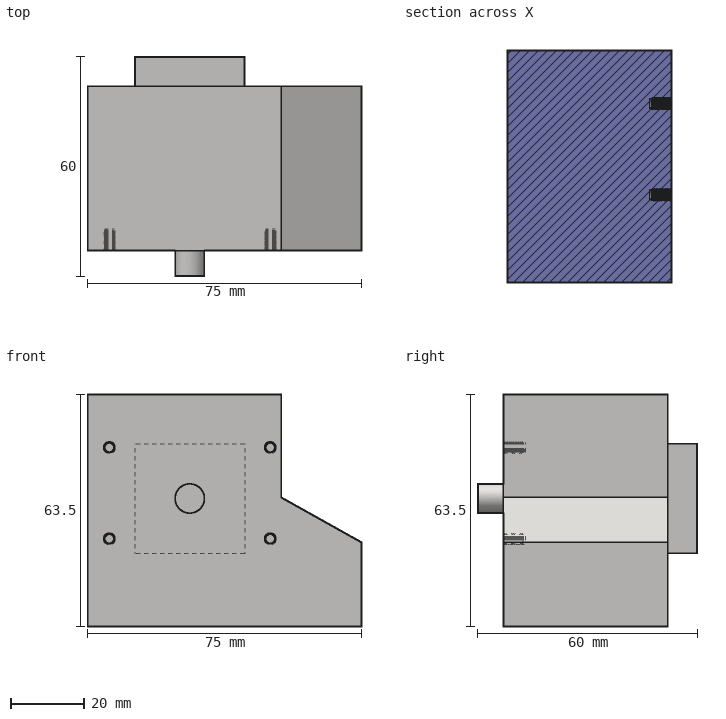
import cadquery as cq
import math

length = 75.0
depth = 45.0
height = 63.5
tall_length = 53.0
shoulder_top = 35.3
shoulder_bottom = 23.0

axis_x = 28.0
axis_z = 35.0
shaft_diameter = 8.0
shaft_length = 7.0

box_side = 30.0
box_depth = 8.0

hole_spacing_x = 44.0
hole_spacing_z = 25.0
hole_lower_z = 24.0
hole_depth = 6.0

thread_minor_diameter = 2.55
thread_major_diameter = 3.1
thread_pitch = 0.5
thread_overlap = 0.1
thread_start_angle = 180
root_half_width = thread_pitch / 16
flank_angle = 30


def front_plane(x, z, y=0.0):
    """XZ workplane centred at (x, y, z), with its normal along +Y and local x along +X."""
    return cq.Workplane(cq.Plane(origin=(x, y, z), xDir=(1, 0, 0), normal=(0, 1, 0)))


def make_housing():
    outline = [
        (0, 0),
        (length, 0),
        (length, shoulder_bottom),
        (tall_length, shoulder_top),
        (tall_length, height),
        (0, height),
    ]
    return cq.Workplane("XZ").polyline(outline).close().extrude(-depth)


def make_shaft():
    return front_plane(axis_x, axis_z).circle(shaft_diameter / 2).extrude(-shaft_length)


def make_rear_box():
    return front_plane(axis_x, axis_z, depth).rect(box_side, box_side).extrude(box_depth)


def make_thread_groove():
    """Helical groove about the Z axis, starting at z = 0."""
    minor_radius = thread_minor_diameter / 2
    root_radius = thread_major_diameter / 2
    inner_radius = minor_radius - thread_overlap
    flank_run = (root_radius - inner_radius) * math.tan(math.radians(flank_angle))
    inner_half_width = root_half_width + flank_run
    profile = [
        (inner_radius, -inner_half_width),
        (inner_radius, inner_half_width),
        (root_radius, root_half_width),
        (root_radius, -root_half_width),
    ]
    helix = cq.Wire.makeHelix(thread_pitch, hole_depth, minor_radius)
    return cq.Workplane("XZ").polyline(profile).close().sweep(cq.Workplane(obj=helix), isFrenet=True)


def make_screw_hole():
    """Solid to cut: the bore and its thread, running along +Y from the origin."""
    bore = front_plane(0, 0).circle(thread_minor_diameter / 2).extrude(hole_depth)
    groove = (
        make_thread_groove()
        .rotate((0, 0, 0), (0, 0, 1), thread_start_angle)
        .rotate((0, 0, 0), (1, 0, 0), -90)
        .translate((0, -thread_pitch, 0))
    )
    return bore.union(groove)


result = make_housing().union(make_shaft()).union(make_rear_box())

screw_hole = make_screw_hole()
for x in (axis_x - hole_spacing_x / 2, axis_x + hole_spacing_x / 2):
    for z in (hole_lower_z, hole_lower_z + hole_spacing_z):
        result = result.cut(screw_hole.translate((x, 0, z)))